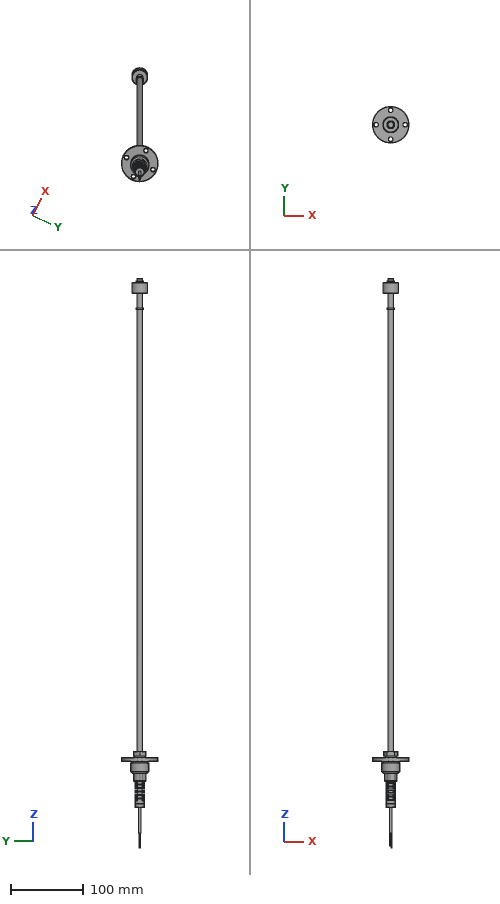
import cadquery as cq


WIRE_DIAMETER = 1.4
WIRE_OFFSET = 0.95
LONG_WIRE_END = 0.0
SHORT_WIRE_END = 2.0
CABLE_DIAMETER = 4.0
CABLE_BOTTOM = 20.5

RELIEF_DIAMETER = 12.5
RELIEF_BOTTOM = 56.0
SLOT_COUNT = 11
SLOT_HEIGHT = 1.5
SLOT_PITCH = 2.0
SLOT_DEPTH = 3.0
LOWEST_SLOT = 65.0
END_GROOVE_BOTTOM = 61.0
END_GROOVE_HEIGHT = 1.0
END_GROOVE_DEPTH = 1.0
NUT_BOTTOM = 92.0
NUT_CORNERS = 19.0
NUT_ROUNDING = 3.0
NUT_CHAMFER = 1.0
NUT_TURN = 15

HUB_DIAMETER = 25.0
HUB_BOTTOM = 103.0
HUB_CHAMFER = 2.0
UNDERCUT_HEIGHT = 2.0
UNDERCUT_DEPTH = 2.0
FLANGE_DIAMETER = 50.0
FLANGE_BOTTOM = 120.0
FLANGE_THICKNESS = 5.0
BOLT_HOLE_DIAMETER = 6.0
BOLT_CIRCLE_DIAMETER = 40.0
BOLT_COUNT = 4
NECK_DIAMETER = 16.0
HEAD_CORNERS = 20.0
HEAD_BOTTOM = 127.0
HEAD_TOP = 133.0

STEM_DIAMETER = 8.0
STEM_TOP = 787.0
FLOAT_DIAMETER = 22.0
FLOAT_BORE = 9.0
FLOAT_BOTTOM = 767.0
FLOAT_TOP = 782.0
FLOAT_CHAMFER = 1.0
RING_DIAMETER = 11.0
RING_THICKNESS = 1.5
LOWER_RING_BOTTOM = 745.0
UPPER_RING_BOTTOM = 782.5

FLANGE_TOP = FLANGE_BOTTOM + FLANGE_THICKNESS


def cylinder(diameter, bottom, top):
    return cq.Workplane("XY").workplane(offset=bottom).circle(diameter / 2).extrude(top - bottom)


def hexagon(corners, bottom, top):
    return cq.Workplane("XY").workplane(offset=bottom).polygon(6, corners).extrude(top - bottom)


def make_wire(x, end):
    return cylinder(WIRE_DIAMETER, end, CABLE_BOTTOM).translate((x, 0, 0))


def make_cable():
    """Cable running through the whole gland up to the hub."""
    return cylinder(CABLE_DIAMETER, CABLE_BOTTOM, HUB_BOTTOM)


def make_slot_pair(bottom, turn):
    """Two straight cuts on opposite sides of the strain relief."""
    centre = (RELIEF_DIAMETER - SLOT_DEPTH) / 2
    slots = (
        cq.Workplane("XY")
        .workplane(offset=bottom)
        .pushPoints([(0, -centre), (0, centre)])
        .rect(RELIEF_DIAMETER, SLOT_DEPTH)
        .extrude(SLOT_HEIGHT)
    )
    return slots.rotate((0, 0, 0), (0, 0, 1), turn)


def make_end_groove():
    """Shallow groove all round the lower end of the strain relief."""
    top = END_GROOVE_BOTTOM + END_GROOVE_HEIGHT
    core = cylinder(RELIEF_DIAMETER - 2 * END_GROOVE_DEPTH, END_GROOVE_BOTTOM, top)
    return cylinder(RELIEF_DIAMETER, END_GROOVE_BOTTOM, top).cut(core)


def make_strain_relief():
    relief = cylinder(RELIEF_DIAMETER, RELIEF_BOTTOM, NUT_BOTTOM).cut(make_end_groove())
    for index in range(SLOT_COUNT):
        turn = 90 * (index % 2)
        relief = relief.cut(make_slot_pair(LOWEST_SLOT + index * SLOT_PITCH, turn))
    return relief


def make_gland():
    nut = hexagon(NUT_CORNERS, NUT_BOTTOM, HUB_BOTTOM).edges("|Z").fillet(NUT_ROUNDING)
    nut = nut.faces("<Z").chamfer(NUT_CHAMFER).rotate((0, 0, 0), (0, 0, 1), NUT_TURN)
    return nut.union(make_strain_relief()).cut(make_cable())


def make_undercut():
    """Ring of triangular section that relieves the hub just under the flange."""
    outer = HUB_DIAMETER / 2
    bottom = FLANGE_BOTTOM - UNDERCUT_HEIGHT
    return (
        cq.Workplane("XZ")
        .moveTo(outer, FLANGE_BOTTOM)
        .lineTo(outer, bottom)
        .lineTo(outer - UNDERCUT_DEPTH, bottom)
        .close()
        .revolve(360, (0, 0, 0), (0, 1, 0))
    )


def make_flange():
    return (
        cylinder(FLANGE_DIAMETER, FLANGE_BOTTOM, FLANGE_TOP)
        .faces(">Z")
        .workplane()
        .polarArray(BOLT_CIRCLE_DIAMETER / 2, 0, 360, BOLT_COUNT)
        .hole(BOLT_HOLE_DIAMETER)
    )


def make_stem():
    return cylinder(STEM_DIAMETER, FLANGE_BOTTOM, STEM_TOP)


def make_housing():
    hub = cylinder(HUB_DIAMETER, HUB_BOTTOM, FLANGE_BOTTOM).faces("<Z").chamfer(HUB_CHAMFER)
    hub = hub.cut(make_undercut())
    neck = cylinder(NECK_DIAMETER, FLANGE_TOP, HEAD_BOTTOM)
    head = hexagon(HEAD_CORNERS, HEAD_BOTTOM, HEAD_TOP)
    return hub.union(make_flange()).union(neck).union(head).cut(make_stem())


def make_float():
    body = cylinder(FLOAT_DIAMETER, FLOAT_BOTTOM, FLOAT_TOP).edges().chamfer(FLOAT_CHAMFER)
    return body.cut(cylinder(FLOAT_BORE, FLOAT_BOTTOM, FLOAT_TOP))


def make_ring(bottom):
    return cylinder(RING_DIAMETER, bottom, bottom + RING_THICKNESS).cut(make_stem())


cable = make_cable()
gland = make_gland()
housing = make_housing()
stem = make_stem()
float_body = make_float()
wires = [make_wire(-WIRE_OFFSET, SHORT_WIRE_END), make_wire(WIRE_OFFSET, LONG_WIRE_END)]
rings = [make_ring(bottom) for bottom in (LOWER_RING_BOTTOM, UPPER_RING_BOTTOM)]

bodies = [cable, gland, housing, stem, float_body, *wires, *rings]
result = cq.Compound.makeCompound([body.solids().val() for body in bodies])